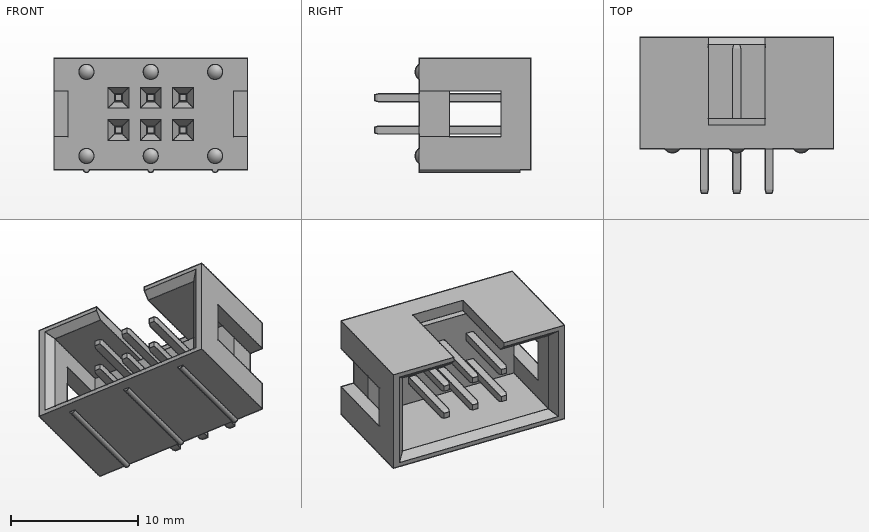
import cadquery as cq

LENGTH = 15.24
DEPTH = 8.8
HEIGHT = 8.8

FLOOR_THICKNESS = 2.41
END_WALL = 1.13
LONG_WALL = 0.96
LEAD_IN = 0.58

KEY_WIDTH = 4.47
KEY_FRONT = 1.89
SLOT_HEIGHT = 3.58
SLOT_DEPTH = 6.43

PITCH = 2.55
COLUMNS = 3
ROWS = 2
PIN_SIZE = 0.64
PIN_TAIL = 3.5
PIN_END_GAP = 0.6
TIP_LENGTH = 0.3
TIP_SIZE = 0.47

FUNNEL_SIZE = 1.63
FUNNEL_DEPTH = 0.91

STANDOFF_PITCH = 5.06
STANDOFF_Z = 3.3
STANDOFF_RADIUS = 0.6
STANDOFF_HEIGHT = 0.32
RIB_HEIGHT = 0.21
RIB_RADIUS = 0.25
RIB_LENGTH = 7.94

STANDOFF_PLACES = [-STANDOFF_PITCH, 0, STANDOFF_PITCH]
PIN_PLACES = [
    ((column - (COLUMNS - 1) / 2) * PITCH, (row - (ROWS - 1) / 2) * PITCH)
    for column in range(COLUMNS)
    for row in range(ROWS)
]


def block(width, height, y_start, y_end):
    """Box centred on X and Z that spans y_start to y_end."""
    depth = y_end - y_start
    return cq.Workplane("XY").box(width, depth, height).translate((0, y_start + depth / 2, 0))


def taper(start_section, end_section, y_start, y_end):
    """Straight taper along Y between two (width, height) sections centred on X and Z."""
    return (
        cq.Workplane("XZ", origin=(0, y_start, 0))
        .rect(*start_section)
        .workplane(offset=y_start - y_end)
        .rect(*end_section)
        .loft(ruled=True)
    )


def make_cavity():
    """Mating cavity with a 45 degree lead-in around its mouth."""
    width = LENGTH - 2 * END_WALL
    height = HEIGHT - 2 * LONG_WALL
    mouth = (width + 2 * LEAD_IN, height + 2 * LEAD_IN)
    lead_in = taper((width, height), mouth, DEPTH - LEAD_IN, DEPTH)
    return block(width, height, FLOOR_THICKNESS, DEPTH).union(lead_in)


def make_key_notch():
    """Polarising notch through the upper long wall."""
    notch = block(KEY_WIDTH, LONG_WALL, KEY_FRONT, DEPTH)
    return notch.translate((0, 0, (HEIGHT - LONG_WALL) / 2))


def make_end_slot(side):
    """Slot through one end wall, open at the pin face."""
    slot = block(END_WALL, SLOT_HEIGHT, 0, SLOT_DEPTH)
    return slot.translate((side * (LENGTH - END_WALL) / 2, 0, 0))


def make_pin():
    """Square pin along Y with a tapered tip at each end."""
    shank_section = (PIN_SIZE, PIN_SIZE)
    tip_section = (TIP_SIZE, TIP_SIZE)
    shank_start = TIP_LENGTH - PIN_TAIL
    mating_end = DEPTH - PIN_END_GAP
    shank_end = mating_end - TIP_LENGTH
    shank = block(PIN_SIZE, PIN_SIZE, shank_start, shank_end)
    tail_tip = taper(tip_section, shank_section, -PIN_TAIL, shank_start)
    mating_tip = taper(shank_section, tip_section, shank_end, mating_end)
    return shank.union(tail_tip).union(mating_tip)


def make_funnel():
    """Recess that narrows from the pin face down to the pin."""
    return taper((FUNNEL_SIZE, FUNNEL_SIZE), (PIN_SIZE, PIN_SIZE), 0, FUNNEL_DEPTH)


def make_standoff():
    """Sphere whose cap stands proud of the pin face; the rest lies inside the shroud."""
    sphere_radius = (STANDOFF_RADIUS**2 + STANDOFF_HEIGHT**2) / (2 * STANDOFF_HEIGHT)
    return cq.Workplane("XY").sphere(sphere_radius).translate((0, sphere_radius - STANDOFF_HEIGHT, 0))


def make_rib():
    """Round-bottomed rib along Y, starting at the pin face."""
    axis_z = RIB_RADIUS - RIB_HEIGHT - HEIGHT / 2
    return cq.Workplane("XZ").center(0, axis_z).circle(RIB_RADIUS).extrude(-RIB_LENGTH)


shroud = block(LENGTH, HEIGHT, 0, DEPTH)

for x in STANDOFF_PLACES:
    shroud = shroud.union(make_rib().translate((x, 0, 0)))
    for z in (-STANDOFF_Z, STANDOFF_Z):
        shroud = shroud.union(make_standoff().translate((x, 0, z)))

shroud = shroud.cut(make_cavity()).cut(make_key_notch())
for side in (-1, 1):
    shroud = shroud.cut(make_end_slot(side))

funnel = make_funnel()
pin = make_pin()
for x, z in PIN_PLACES:
    shroud = shroud.cut(funnel.translate((x, 0, z)))
    shroud = shroud.union(pin.translate((x, 0, z)))

result = shroud